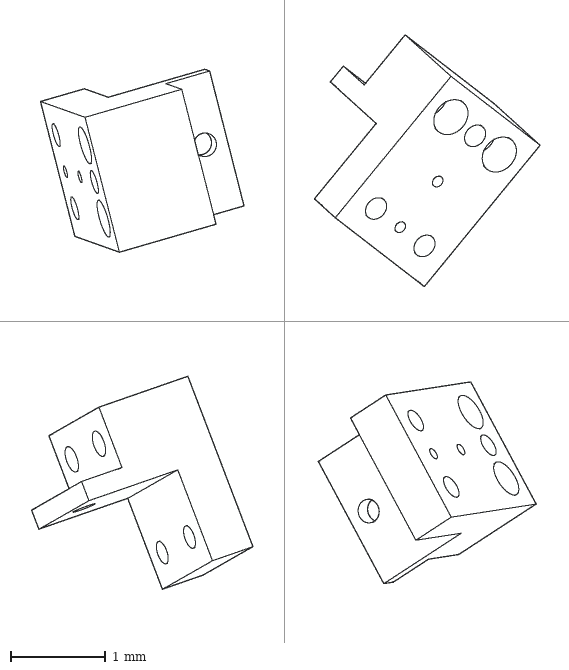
import cadquery as cq
import math

tilt = 45.0
span = 2.43
length = 1.942
width = span * math.sqrt(2) - length
depth = 1.59

plate_thickness = 0.498
body_back = 1.094
body_length = 0.906
tab_length = 0.219

row_offset = 0.627
hole_offset = 0.405
through_diameter = 0.25
screw_diameter = 0.282
counterbore_diameter = 0.405
counterbore_depth = 0.498
dowel_diameter = 0.25
dowel_depth = 0.498
pin_diameter = 0.125
pin_depth = 0.25

tab_hole_diameter = 0.25

front = -depth / 2
back = depth / 2
body_rear = front + body_back
end = length / 2
body_start = end - body_length


def front_holes(points, diameter, hole_depth):
    """Cylinders running in from the front face at the given (X, Z) points."""
    return (
        cq.Workplane("XZ", origin=(0, front, 0))
        .pushPoints(points)
        .circle(diameter / 2)
        .extrude(-hole_depth)
    )


block = (
    cq.Workplane("XY")
    .moveTo(-end, front)
    .lineTo(end, front)
    .lineTo(end, body_rear)
    .lineTo(body_start + tab_length, body_rear)
    .lineTo(body_start + tab_length, back)
    .lineTo(body_start, back)
    .lineTo(body_start, front + plate_thickness)
    .lineTo(-end, front + plate_thickness)
    .close()
    .extrude(width / 2, both=True)
)

plate_points = [(-row_offset, -hole_offset), (-row_offset, hole_offset)]
block = block.cut(front_holes(plate_points, through_diameter, plate_thickness))

screw_points = [(row_offset, -hole_offset), (row_offset, hole_offset)]
block = block.cut(front_holes(screw_points, screw_diameter, body_back))
block = block.cut(front_holes(screw_points, counterbore_diameter, counterbore_depth))

block = block.cut(front_holes([(row_offset, 0)], dowel_diameter, dowel_depth))
block = block.cut(front_holes([(-row_offset, 0), (0, 0)], pin_diameter, pin_depth))

tab_hole = (
    cq.Workplane("YZ", origin=(body_start, (body_rear + back) / 2, 0))
    .circle(tab_hole_diameter / 2)
    .extrude(tab_length)
)
block = block.cut(tab_hole)

result = block.rotate((0, 0, 0), (0, 1, 0), -tilt)